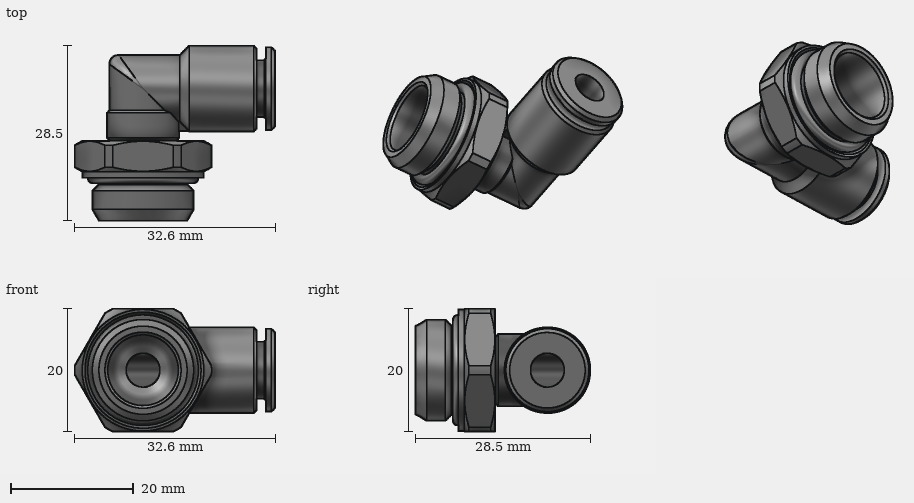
import cadquery as cq
import math


elbow_radius = 5.5
elbow_corner_fillet = 1.5
elbow_core_radius = elbow_radius - elbow_corner_fillet
bore_radius = 2.75

arm_radius = 7.0
arm_cone_start = 6.0
arm_cone_end = arm_cone_start + (arm_radius - elbow_radius)
arm_end = 18.5
arm_chamfer = 0.5
collet_neck_radius = 4.65
collet_flare = 0.3
collet_flange_radius = 6.75
collet_flange_start = 20.0
collet_end = 21.5
collet_chamfer = 0.6

rib_thickness = 2.4
rib_bottom = -6.9

sleeve_radius = 5.9
sleeve_top = -3.55
sleeve_top_chamfer = sleeve_radius - elbow_radius
sleeve_bottom_chamfer = 0.5

hex_across_flats = 20.0
hex_corner_radius = 11.15
hex_chamfer_radius = 9.9
hex_chamfer_angle = 30.0
hex_top = -8.5
hex_height = 5.0
hex_bottom = hex_top - hex_height

flange_radius = 9.9
flange_thickness = 1.0
flange_bottom = hex_bottom - flange_thickness
thread_radius = 8.25
thread_end = -21.5
thread_top = -16.6
thread_chamfer_start = -19.65
thread_chamfer_angle = 30.0

ring_tube_radius = 0.85
ring_inner_radius = 7.3
ring_protrusion = 0.9
ring_centre_radius = ring_inner_radius + ring_tube_radius
ring_bottom = flange_bottom - ring_protrusion
ring_centre_y = ring_bottom + ring_tube_radius
seat_floor = ring_centre_y + ring_tube_radius
seat_mouth_radius = 9.45
seat_floor_radius = seat_mouth_radius - (seat_floor - flange_bottom)

socket_radius = 5.75
socket_mouth_chamfer = 0.45
socket_cone_start = -11.5
socket_cone_angle = 59.0


def turn_about_y(points):
    """Solid of revolution about Y from (radius, y) points."""
    return cq.Workplane("XY").polyline(points).close().revolve(360, (0, 0, 0), (0, 1, 0))


def turn_about_x(points):
    """Solid of revolution about X from (x, radius) points."""
    return cq.Workplane("XY").polyline(points).close().revolve(360, (0, 0, 0), (1, 0, 0))


def mitred_pipe(radius, y_start, x_end):
    """Round bar up the Y axis to the origin, then out along X, with a mitred corner."""
    path = cq.Workplane("XY").polyline([(0, y_start), (0, 0), (x_end, 0)])
    section = cq.Workplane("XZ", origin=(0, y_start, 0)).circle(radius)
    return section.sweep(path, transition="right")


def make_rounded_corner():
    """Outer corner of the elbow, rounded by a tube that runs along the mitre ellipse.

    The tube is tangent to each leg along a curve that lies in a plane through Z.
    """
    mitre_plane = cq.Plane(origin=(0, 0, 0), xDir=(-1, 1, 0), normal=(1, 1, 0))
    ellipse = cq.Workplane(mitre_plane).ellipse(elbow_core_radius * math.sqrt(2), elbow_core_radius)
    tube = (
        cq.Workplane("XY", origin=(-elbow_core_radius, elbow_core_radius, 0))
        .circle(elbow_corner_fillet)
        .sweep(ellipse)
    )
    core = mitred_pipe(elbow_core_radius, hex_top, arm_cone_end)
    return core.union(tube)


def make_elbow():
    """Mitred elbow with its outer corner replaced, between the two tangency planes, by the rounded one."""
    reach = 2.0
    wedge = (
        cq.Workplane("XY", origin=(0, 0, -elbow_radius * reach))
        .polyline([
            (0, 0),
            (-elbow_radius * reach, elbow_core_radius * reach),
            (-elbow_core_radius * reach, elbow_radius * reach),
        ])
        .close()
        .extrude(2 * elbow_radius * reach)
    )
    legs = mitred_pipe(elbow_radius, hex_top, arm_cone_end).cut(wedge)
    return legs.union(make_rounded_corner().intersect(wedge))


def make_arm():
    """Cone and tube holder, with the release collet at its open end."""
    return turn_about_x([
        (arm_cone_start, 0),
        (arm_cone_start, elbow_radius),
        (arm_cone_end, arm_radius),
        (arm_end - arm_chamfer, arm_radius),
        (arm_end, arm_radius - arm_chamfer),
        (arm_end, collet_neck_radius),
        (collet_flange_start - collet_flare, collet_neck_radius),
        (collet_flange_start, collet_neck_radius + collet_flare),
        (collet_flange_start, collet_flange_radius),
        (collet_end - collet_chamfer, collet_flange_radius),
        (collet_end, collet_flange_radius - collet_chamfer),
        (collet_end, 0),
    ])


def make_rib():
    """Flat rib in the inner corner of the elbow, reaching to the end of the arm cone."""
    rib = cq.Workplane("XY").box(arm_cone_end, -rib_bottom, rib_thickness, centered=(False, False, True))
    return rib.translate((0, rib_bottom, 0))


def make_sleeve():
    """Collar between the elbow and the hexagon, chamfered at both ends."""
    return turn_about_y([
        (0, sleeve_top),
        (elbow_radius, sleeve_top),
        (sleeve_radius, sleeve_top - sleeve_top_chamfer),
        (sleeve_radius, hex_top + sleeve_bottom_chamfer),
        (sleeve_radius - sleeve_bottom_chamfer, hex_top),
        (0, hex_top),
    ])


def make_hexagon():
    """Hexagon with corners on X, rounded at the corners and chamfered at both ends."""
    across_corners = hex_across_flats / math.cos(math.pi / 6)
    prism = cq.Workplane("XZ", origin=(0, hex_top, 0)).polygon(6, across_corners).extrude(hex_height)
    chamfer_height = (hex_corner_radius - hex_chamfer_radius) * math.tan(math.radians(hex_chamfer_angle))
    envelope = turn_about_y([
        (0, hex_top),
        (hex_chamfer_radius, hex_top),
        (hex_corner_radius, hex_top - chamfer_height),
        (hex_corner_radius, hex_bottom + chamfer_height),
        (hex_chamfer_radius, hex_bottom),
        (0, hex_bottom),
    ])
    return prism.intersect(envelope)


def make_stud():
    """Flange with the O-ring seat, undercut neck and plain thread cylinder."""
    undercut_bottom = thread_top + (thread_radius - ring_inner_radius)
    chamfer_depth = (thread_chamfer_start - thread_end) * math.tan(math.radians(thread_chamfer_angle))
    return turn_about_y([
        (0, hex_bottom),
        (flange_radius, hex_bottom),
        (flange_radius, flange_bottom),
        (seat_mouth_radius, flange_bottom),
        (seat_floor_radius, seat_floor),
        (ring_inner_radius, seat_floor),
        (ring_inner_radius, undercut_bottom),
        (thread_radius, thread_top),
        (thread_radius, thread_chamfer_start),
        (thread_radius - chamfer_depth, thread_end),
        (0, thread_end),
    ])


def make_socket():
    """Socket in the threaded end, closing down to the bore with a cone."""
    cone_height = (socket_radius - bore_radius) / math.tan(math.radians(socket_cone_angle))
    return turn_about_y([
        (0, thread_end),
        (socket_radius + socket_mouth_chamfer, thread_end),
        (socket_radius, thread_end + socket_mouth_chamfer),
        (socket_radius, socket_cone_start),
        (bore_radius, socket_cone_start + cone_height),
        (0, socket_cone_start + cone_height),
    ])


def make_fitting():
    """Elbow, arm and stud as one solid, with the angled bore through it."""
    outside = make_elbow()
    for section in (make_arm(), make_rib(), make_sleeve(), make_hexagon(), make_stud()):
        outside = outside.union(section)
    return outside.cut(make_socket()).cut(mitred_pipe(bore_radius, thread_end, collet_end))


def make_o_ring():
    """Torus that touches the undercut neck and the floor of its seat."""
    section = cq.Workplane("XY").center(ring_centre_radius, ring_centre_y).circle(ring_tube_radius)
    return section.revolve(360, (-ring_centre_radius, 0, 0), (-ring_centre_radius, 1, 0))


fitting = make_fitting()
o_ring = make_o_ring()

result = cq.Compound.makeCompound([fitting.solids().val(), o_ring.val()])